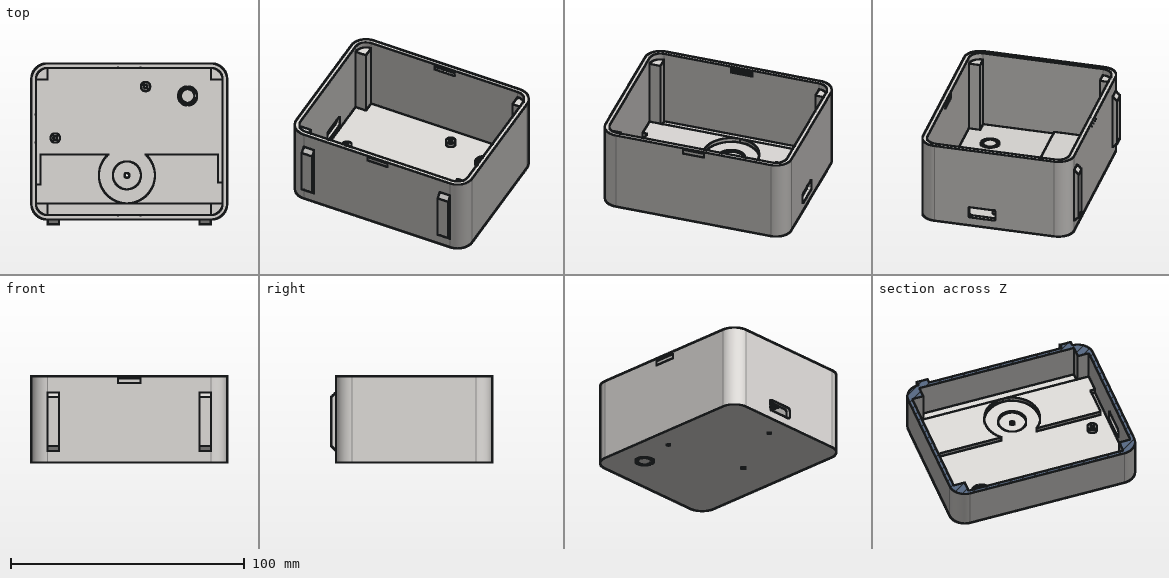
import cadquery as cq

LENGTH = 84.0
WIDTH = 67.0
HEIGHT = 37.0
WALL = 2.0
FLOOR = 2.0
CORNER_RADIUS = 7.0
INNER_LENGTH = LENGTH - 2 * WALL
INNER_WIDTH = WIDTH - 2 * WALL

POST_SIZE = 5.0
POST_DROP = 3.0
POST_TOP = HEIGHT - POST_DROP

GROOVE_LENGTH = 9.6
GROOVE_HEIGHT = 2.0
GROOVE_DEPTH = 1.6
GROOVE_BOTTOM = POST_TOP

RAIL_WIDTH = 5.0
RAIL_DEPTH = 2.0
RAIL_BOTTOM = 5.0
RAIL_TOP = 30.0
RAIL_END_SLOPE = 2.0
RAIL_OUTER_X = LENGTH / 2 - CORNER_RADIUS

PORT_LENGTH = 12.0
PORT_HEIGHT = 5.0
PORT_CENTRE_Y = 5.5
PORT_BOTTOM = 4.0
PORT_RADIUS = 1.0

STANDOFF_POINTS = [(-31.7, 1.5), (7.0, 23.5)]
STANDOFF_DIAMETER = 4.0
STANDOFF_HEIGHT = 2.0
STANDOFF_HOLE = 1.5

BUTTON_CENTRE = (25.0, 19.5)
BUTTON_DIAMETER = 6.0
BUTTON_GAP_DIAMETER = 8.0
BRIDGE_WIDTH = 1.0

PLATFORM_HEIGHT = 2.0
PLATFORM_WIDTH = 21.0
PLATFORM_MIN_Y = -INNER_WIDTH / 2 + POST_SIZE
PLATFORM_MAX_Y = PLATFORM_MIN_Y + PLATFORM_WIDTH
PLATFORM_TOP = FLOOR + PLATFORM_HEIGHT
NOTCH_DEPTH = 2.0
LEFT_NOTCH_LENGTH = 13.0
RIGHT_NOTCH_LENGTH = 12.0

POCKET_DIAMETER = 24.0
POCKET_CENTRE = (-1.0, PLATFORM_MIN_Y + POCKET_DIAMETER / 2)
SCREW_HOLE = 2.0
SCREW_RECESS_DIAMETER = 12.0
SCREW_RECESS_DEPTH = 1.0


def box(x_min, x_max, y_min, y_max, z_min, z_max):
    """Axis-aligned block between the given limits."""
    size = (x_max - x_min, y_max - y_min, z_max - z_min)
    return cq.Workplane("XY").box(*size, centered=False).translate((x_min, y_min, z_min))


def cylinder(centre, diameter, z_min, z_max):
    """Upright cylinder between two heights."""
    disc = cq.Workplane("XY").workplane(offset=z_min).center(*centre).circle(diameter / 2)
    return disc.extrude(z_max - z_min)


def rounded_block(length, width, radius, z_min, z_max):
    """Centred block with rounded vertical edges."""
    block = box(-length / 2, length / 2, -width / 2, width / 2, z_min, z_max)
    return block.edges("|Z").fillet(radius)


def make_cavity():
    """Inner space of the case, leaving the four corner posts standing."""
    cavity = rounded_block(INNER_LENGTH, INNER_WIDTH, CORNER_RADIUS - WALL, FLOOR, HEIGHT)
    corner_size = 2 * POST_SIZE
    corners = (
        cq.Workplane("XY")
        .rect(INNER_LENGTH, INNER_WIDTH, forConstruction=True)
        .vertices()
        .rect(corner_size, corner_size)
        .extrude(POST_TOP)
    )
    return cavity.cut(corners)


def make_platform():
    """Raised platform with a notch at each end and the round pocket."""
    end_x = INNER_LENGTH / 2
    notch_x = end_x - NOTCH_DEPTH
    left_y = PLATFORM_MAX_Y - LEFT_NOTCH_LENGTH
    right_y = PLATFORM_MAX_Y - RIGHT_NOTCH_LENGTH
    platform = box(-end_x, end_x, PLATFORM_MIN_Y, PLATFORM_MAX_Y, FLOOR, PLATFORM_TOP)
    platform = platform.cut(box(-end_x, -notch_x, left_y, PLATFORM_MAX_Y, FLOOR, PLATFORM_TOP))
    platform = platform.cut(box(notch_x, end_x, right_y, PLATFORM_MAX_Y, FLOOR, PLATFORM_TOP))
    return platform.cut(cylinder(POCKET_CENTRE, POCKET_DIAMETER, FLOOR, PLATFORM_TOP))


def make_rail(start_x):
    """Rail from start_x towards +X, its two ends sloping back to the wall."""
    wall_y = -WIDTH / 2
    outer_y = wall_y - RAIL_DEPTH
    profile = [
        (wall_y, RAIL_BOTTOM),
        (outer_y, RAIL_BOTTOM + RAIL_END_SLOPE),
        (outer_y, RAIL_TOP - RAIL_END_SLOPE),
        (wall_y, RAIL_TOP),
    ]
    return cq.Workplane("YZ").workplane(offset=start_x).polyline(profile).close().extrude(RAIL_WIDTH)


def make_port():
    """Rounded opening through the -X wall."""
    y_min = PORT_CENTRE_Y - PORT_LENGTH / 2
    y_max = PORT_CENTRE_Y + PORT_LENGTH / 2
    port = box(-LENGTH / 2, -INNER_LENGTH / 2, y_min, y_max, PORT_BOTTOM, PORT_BOTTOM + PORT_HEIGHT)
    return port.edges("|X").fillet(PORT_RADIUS)


def make_grooves():
    """One bar across the cavity whose ends form the groove in each long wall."""
    half_length = GROOVE_LENGTH / 2
    half_span = INNER_WIDTH / 2 + GROOVE_DEPTH
    top = GROOVE_BOTTOM + GROOVE_HEIGHT
    return box(-half_length, half_length, -half_span, half_span, GROOVE_BOTTOM, top)


def make_button_gap():
    """Ring-shaped gap through the floor, interrupted by two bridges."""
    x, y = BUTTON_CENTRE
    half_bridge = BRIDGE_WIDTH / 2
    reach = BUTTON_GAP_DIAMETER
    gap = cylinder(BUTTON_CENTRE, BUTTON_GAP_DIAMETER, 0, FLOOR)
    gap = gap.cut(cylinder(BUTTON_CENTRE, BUTTON_DIAMETER, 0, FLOOR))
    return gap.cut(box(x - half_bridge, x + half_bridge, y - reach, y + reach, 0, FLOOR))


case = rounded_block(LENGTH, WIDTH, CORNER_RADIUS, 0, HEIGHT).cut(make_cavity())
case = case.union(make_platform())
for rail_start_x in (-RAIL_OUTER_X, RAIL_OUTER_X - RAIL_WIDTH):
    case = case.union(make_rail(rail_start_x))

standoff_top = FLOOR + STANDOFF_HEIGHT
for point in STANDOFF_POINTS:
    case = case.union(cylinder(point, STANDOFF_DIAMETER, FLOOR, standoff_top))
    case = case.cut(cylinder(point, STANDOFF_HOLE, 0, standoff_top))

case = case.cut(make_port())
case = case.cut(make_grooves())
case = case.cut(make_button_gap())
case = case.cut(cylinder(POCKET_CENTRE, SCREW_HOLE, 0, FLOOR))
case = case.cut(cylinder(POCKET_CENTRE, SCREW_RECESS_DIAMETER, FLOOR - SCREW_RECESS_DEPTH, FLOOR))

result = case